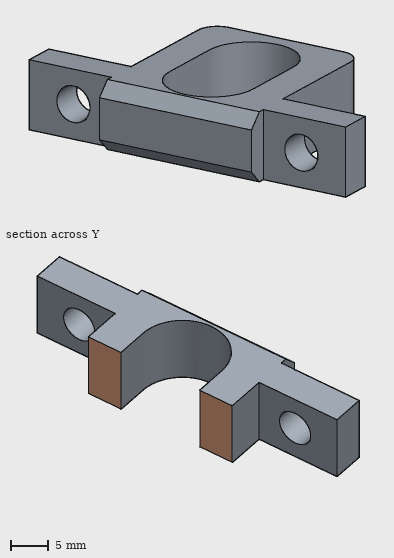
import cadquery as cq

length = 50.0
depth = 28.0
height = 10.0

body_width = 24.0
corner_radius = 3.0
front_chamfer = 2.0

slot_width = 13.1
slot_length = 23.2
slot_front_wall = 2.5

ear_setback = 3.0
ear_thickness = 5.0
hole_diameter = 5.2
hole_end_distance = 7.0


def make_body():
    """Block with its front face on Y = 0, rounded at the back and chamfered at the front."""
    block = cq.Workplane("XY").box(body_width, depth, height, centered=(True, False, False))
    block = block.edges("|Z and >Y").fillet(corner_radius)
    return block.faces("<Y").edges("|X").chamfer(front_chamfer)


def make_ears():
    """Full-length bar that forms both ears, with a mounting hole near each end."""
    bar = cq.Workplane("XY").box(length, ear_thickness, height, centered=(True, False, False))
    hole_offset = length / 2 - hole_end_distance
    holes = (
        cq.Workplane("XZ")
        .pushPoints([(-hole_offset, height / 2), (hole_offset, height / 2)])
        .circle(hole_diameter / 2)
        .extrude(-ear_thickness)
    )
    return bar.cut(holes).translate((0, ear_setback, 0))


def make_slot():
    """Round-ended cutter running along Y, through the full height."""
    slot_center_y = slot_front_wall + slot_length / 2
    return (
        cq.Workplane("XY")
        .center(0, slot_center_y)
        .slot2D(slot_length, slot_width, 90)
        .extrude(height)
    )


result = make_body().union(make_ears()).cut(make_slot())